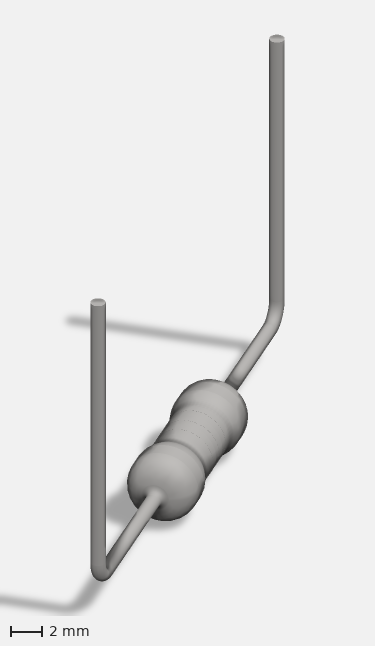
import cadquery as cq
import math

WIRE_DIAMETER = 1.0
LEAD_SPAN = 36.0
LEAD_TOP = 21.0
BEND_RADIUS = 1.5

CAP_DIAMETER = 4.8
NECK_DIAMETER = 4.1
SHOULDER_MID = 2.87
CAP_RIM_START = 3.65
CAP_RIM_END = 4.7
DOME_RADIUS = 1.65
COLLAR_RADIUS = 0.5

GROOVE_DIAMETER = 4.08
MIDDLE_GROOVE_WIDTH = 0.55
SIDE_GROOVE_WIDTH = 0.65
BAND_WIDTH = 0.65

wire_radius = WIRE_DIAMETER / 2
cap_radius = CAP_DIAMETER / 2
neck_radius = NECK_DIAMETER / 2
lead_y = LEAD_SPAN / 2 - wire_radius

side_groove_center_y = MIDDLE_GROOVE_WIDTH / 2 + BAND_WIDTH + SIDE_GROOVE_WIDTH / 2
neck_half_length = side_groove_center_y + SIDE_GROOVE_WIDTH / 2 + BAND_WIDTH
grooves = (
    (-side_groove_center_y, SIDE_GROOVE_WIDTH),
    (0, MIDDLE_GROOVE_WIDTH),
    (side_groove_center_y, SIDE_GROOVE_WIDTH),
)


def make_wire():
    """Sweep the round lead along its U-shaped centreline."""
    bend_center_y = lead_y - BEND_RADIUS
    bend_offset = BEND_RADIUS * math.sin(math.pi / 4)
    bend_mid_y = bend_center_y + bend_offset
    bend_mid_z = BEND_RADIUS - bend_offset
    centerline = (
        cq.Workplane("YZ")
        .moveTo(-lead_y, LEAD_TOP)
        .lineTo(-lead_y, BEND_RADIUS)
        .threePointArc((-bend_mid_y, bend_mid_z), (-bend_center_y, 0))
        .lineTo(bend_center_y, 0)
        .threePointArc((bend_mid_y, bend_mid_z), (lead_y, BEND_RADIUS))
        .lineTo(lead_y, LEAD_TOP)
    )
    section = cq.Workplane("XY", origin=(0, -lead_y, LEAD_TOP)).circle(wire_radius)
    return section.sweep(centerline)


def make_half_body():
    """Revolve the +Y half of the body: neck, shoulder, cap rim, dome and collar."""
    concave_share = (SHOULDER_MID - neck_half_length) / (CAP_RIM_START - neck_half_length)
    shoulder_mid_radius = neck_radius + (cap_radius - neck_radius) * concave_share
    shoulder_mid = (shoulder_mid_radius, SHOULDER_MID)

    dome_center_r = cap_radius - DOME_RADIUS
    collar_center_r = wire_radius + COLLAR_RADIUS
    center_distance = DOME_RADIUS + COLLAR_RADIUS
    center_rise = collar_center_r - dome_center_r
    collar_end_y = CAP_RIM_END + math.sqrt(center_distance**2 - center_rise**2)
    dome_share = DOME_RADIUS / center_distance
    dome_end = (
        dome_center_r + center_rise * dome_share,
        CAP_RIM_END + (collar_end_y - CAP_RIM_END) * dome_share,
    )

    return (
        cq.Workplane("XY")
        .lineTo(neck_radius, 0)
        .lineTo(neck_radius, neck_half_length)
        .tangentArcPoint(shoulder_mid, relative=False)
        .tangentArcPoint((cap_radius, CAP_RIM_START), relative=False)
        .lineTo(cap_radius, CAP_RIM_END)
        .tangentArcPoint(dome_end, relative=False)
        .tangentArcPoint((wire_radius, collar_end_y), relative=False)
        .lineTo(0, collar_end_y)
        .close()
        .revolve(360, (0, 0), (0, 1))
    )


def make_groove(center_y, width):
    """Ring to cut from the neck between two colour bands."""
    start = cq.Workplane("XZ", origin=(0, center_y + width / 2, 0))
    return start.circle(cap_radius).circle(GROOVE_DIAMETER / 2).extrude(width)


half_body = make_half_body()
result = make_wire().union(half_body).union(half_body.mirror("XZ"))
for groove_center, groove_width in grooves:
    result = result.cut(make_groove(groove_center, groove_width))